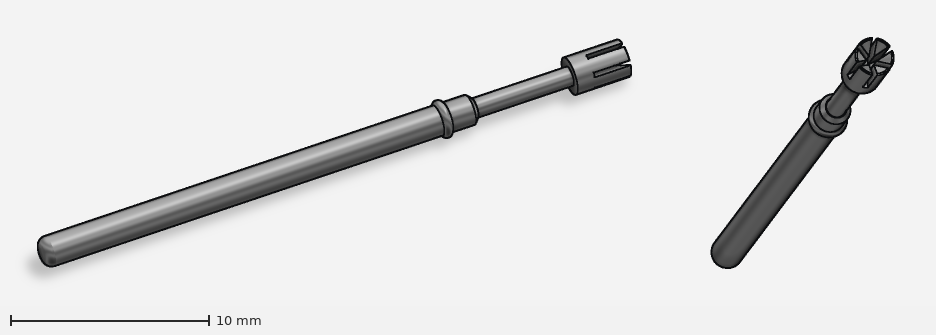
import cadquery as cq

total_length = 32.3
tip_y = total_length / 2
tail_y = -total_length / 2

head_radius = 1.0
head_length = 2.97
slot_width = 0.25
slot_depth = 2.0
cup_radius = 0.9
cup_depth = cup_radius
slot_cuts = 3

neck_radius = 0.52

barrel_radius = 0.8
mouth_distance = 8.27
mouth_bevel = 0.25
tail_round = 0.45

ring_distance = 10.05
bead_radius = 0.25


def cylinder(radius, start_y, end_y):
    """Solid cylinder on the Y axis between two stations."""
    return cq.Workplane("XZ", origin=(0, end_y, 0)).circle(radius).extrude(end_y - start_y)


def make_head():
    """Cylindrical head with evenly spaced slots and a conical cup in its end face."""
    head = cylinder(head_radius, tip_y - head_length, tip_y)
    cup = (
        cq.Workplane("XY")
        .polyline([(0, tip_y), (cup_radius, tip_y), (0, tip_y - cup_depth)])
        .close()
        .revolve(360, (0, 0, 0), (0, 1, 0))
    )
    head = head.cut(cup)

    slot = cq.Workplane("XY").box(slot_width, slot_depth, 2 * head_radius)
    slot = slot.translate((0, tip_y - slot_depth / 2, 0))
    for index in range(slot_cuts):
        angle = index * 180 / slot_cuts
        head = head.cut(slot.rotate((0, 0, 0), (0, 1, 0), angle))
    return head


def make_neck():
    """Thin plunger shaft joining the head to the barrel."""
    return cylinder(neck_radius, tip_y - mouth_distance, tip_y - head_length)


def make_barrel():
    """Long barrel, bevelled at the mouth and rounded at the tail."""
    barrel = cylinder(barrel_radius, tail_y, tip_y - mouth_distance)
    barrel = barrel.faces(">Y").chamfer(mouth_bevel)
    return barrel.faces("<Y").edges().fillet(tail_round)


def make_ring():
    """Bead with a half-round rim standing out to the head radius."""
    middle_y = tip_y - ring_distance
    rim_center = head_radius - bead_radius
    profile = (
        cq.Workplane("XY")
        .moveTo(0, middle_y - bead_radius)
        .lineTo(rim_center, middle_y - bead_radius)
        .threePointArc((head_radius, middle_y), (rim_center, middle_y + bead_radius))
        .lineTo(0, middle_y + bead_radius)
        .close()
    )
    return profile.revolve(360, (0, 0, 0), (0, 1, 0))


result = make_barrel().union(make_ring()).union(make_neck()).union(make_head())